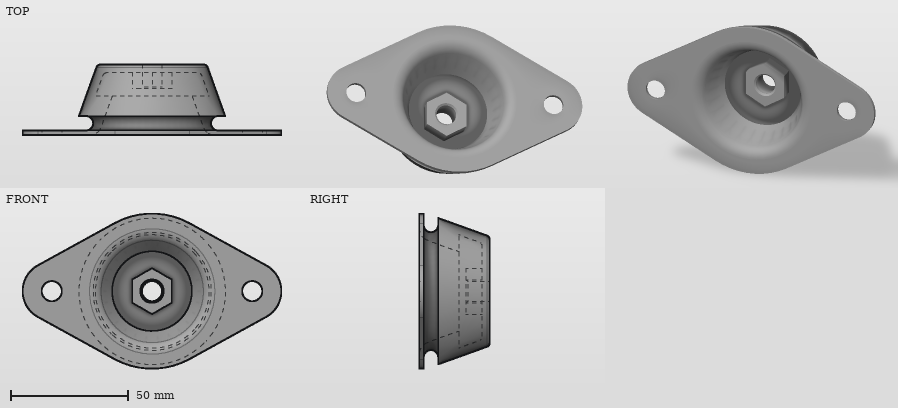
import cadquery as cq
import math

flange_length = 109.9
flange_width = 66.0
flange_thickness = 2.0
flange_end_radius = 12.5
bolt_spacing = 85.1
bolt_hole_diameter = 8.5

body_height = 30.0
head_base_y = 8.0
head_base_radius = 31.1
head_top_radius = 23.2
head_edge_fillet = 2.0
neck_radius = 25.1

mouth_radius = 26.6
mouth_bend_radius = 5.2
waist_radius = 16.9
waist_y = 16.7
cavity_floor_y = 26.6
cavity_floor_fillet = 2.0
cavity_corner_radius = 20.6

nut_face_y = 19.8
nut_across_flats = 16.9
thread_diameter = 8.5
thread_chamfer = 0.8


def cylinder_along_y(radius, start_y, end_y, x=0.0):
    return (
        cq.Workplane("XZ", origin=(x, start_y, 0))
        .circle(radius)
        .extrude(start_y - end_y)
    )


def make_flange():
    """Plate bounded by two end arcs and two side arcs joined by tangent lines."""
    side_radius = flange_width / 2
    end_x = flange_length / 2 - flange_end_radius
    edge_angle = math.asin((side_radius - flange_end_radius) / end_x)
    normal_x = math.sin(edge_angle)
    normal_z = math.cos(edge_angle)
    side_x = side_radius * normal_x
    side_z = side_radius * normal_z
    tip_x = end_x + flange_end_radius * normal_x
    tip_z = flange_end_radius * normal_z
    return (
        cq.Workplane("XZ")
        .moveTo(-side_x, side_z)
        .threePointArc((0, side_radius), (side_x, side_z))
        .lineTo(tip_x, tip_z)
        .threePointArc((flange_length / 2, 0), (tip_x, -tip_z))
        .lineTo(side_x, -side_z)
        .threePointArc((0, -side_radius), (-side_x, -side_z))
        .lineTo(-tip_x, -tip_z)
        .threePointArc((-flange_length / 2, 0), (-tip_x, tip_z))
        .close()
        .extrude(-flange_thickness)
    )


def make_body():
    """Revolved head and neck, with a half-round groove behind the flange."""
    groove_radius = (head_base_y - flange_thickness) / 2
    groove_y = flange_thickness + groove_radius
    groove_edge_radius = neck_radius + groove_radius
    body = (
        cq.Workplane("XY")
        .lineTo(groove_edge_radius, 0)
        .lineTo(groove_edge_radius, flange_thickness)
        .threePointArc((neck_radius, groove_y), (groove_edge_radius, head_base_y))
        .lineTo(head_base_radius, head_base_y)
        .lineTo(head_top_radius, body_height)
        .lineTo(0, body_height)
        .close()
        .revolve(360, (0, 0), (0, 1))
    )
    return body.faces(">Y").edges().fillet(head_edge_fillet)


def make_cavity():
    """Revolved void: rolled mouth, cone to the waist, then an undercut chamber."""
    waist_offset = mouth_radius - waist_radius
    waist_depth = waist_y - mouth_bend_radius
    centre_to_waist = math.hypot(waist_offset, waist_depth)
    cone_angle = math.atan2(waist_offset, waist_depth) - math.asin(mouth_bend_radius / centre_to_waist)
    middle_angle = (math.pi / 2 + cone_angle) / 2

    wall_slope = (head_base_radius - head_top_radius) / (body_height - head_base_y)
    undercut_radius = cavity_corner_radius + wall_slope * (cavity_floor_y - waist_y)

    def bend_point(angle):
        radius = mouth_radius - mouth_bend_radius * math.cos(angle)
        return radius, mouth_bend_radius * (1 - math.sin(angle))

    cavity = (
        cq.Workplane("XY")
        .lineTo(*bend_point(math.pi / 2))
        .threePointArc(bend_point(middle_angle), bend_point(cone_angle))
        .lineTo(waist_radius, waist_y)
        .lineTo(undercut_radius, waist_y)
        .lineTo(cavity_corner_radius, cavity_floor_y)
        .lineTo(0, cavity_floor_y)
        .close()
        .revolve(360, (0, 0), (0, 1))
    )
    return cavity.faces(">Y").edges().fillet(cavity_floor_fillet)


def make_nut():
    across_corners = nut_across_flats / math.cos(math.pi / 6)
    return (
        cq.Workplane("XZ", origin=(0, nut_face_y, 0))
        .transformed(rotate=(0, 0, 90))
        .polygon(6, across_corners)
        .extrude(nut_face_y - body_height)
    )


def make_thread_hole():
    hole = cylinder_along_y(thread_diameter / 2, 0, body_height)
    countersink = (
        cq.Workplane("XY", origin=(0, nut_face_y, 0))
        .lineTo(thread_diameter / 2 + thread_chamfer, 0)
        .lineTo(thread_diameter / 2, thread_chamfer)
        .lineTo(0, thread_chamfer)
        .close()
        .revolve(360, (0, 0), (0, 1))
    )
    return hole.union(countersink)


result = make_flange().union(make_body()).cut(make_cavity()).union(make_nut()).cut(make_thread_hole())
for bolt_x in (-bolt_spacing / 2, bolt_spacing / 2):
    result = result.cut(cylinder_along_y(bolt_hole_diameter / 2, 0, flange_thickness, bolt_x))